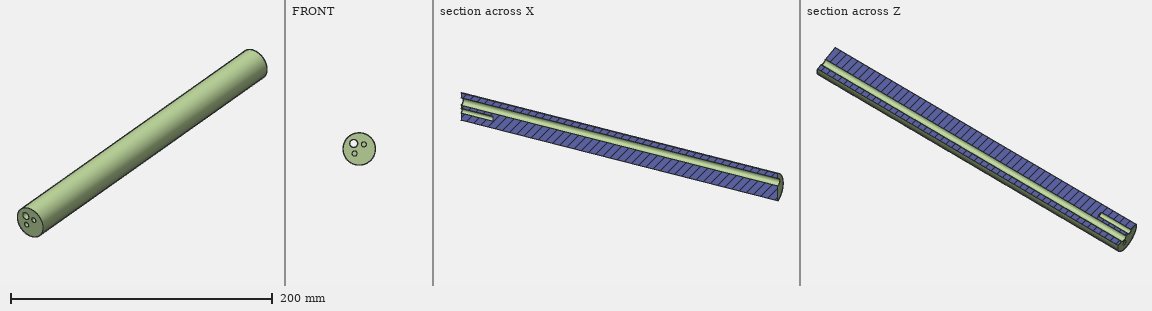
import cadquery as cq

length = 280.0
rod_diameter = 25.0

through_diameter = 6.0
through_center = (-4.2, 4.2)

blind_diameter = 4.0
blind_depth = 28.0
blind_spacing = 7.0
blind_offset = blind_spacing / 2
blind_centers = [(blind_offset, blind_offset), (-blind_offset, -blind_offset)]

front_face = cq.Workplane("XZ", origin=(0, -length / 2, 0))

rod = front_face.circle(rod_diameter / 2).extrude(-length)
through_hole = front_face.center(*through_center).circle(through_diameter / 2).extrude(-length)
blind_holes = front_face.pushPoints(blind_centers).circle(blind_diameter / 2).extrude(-blind_depth)

result = rod.cut(through_hole).cut(blind_holes)